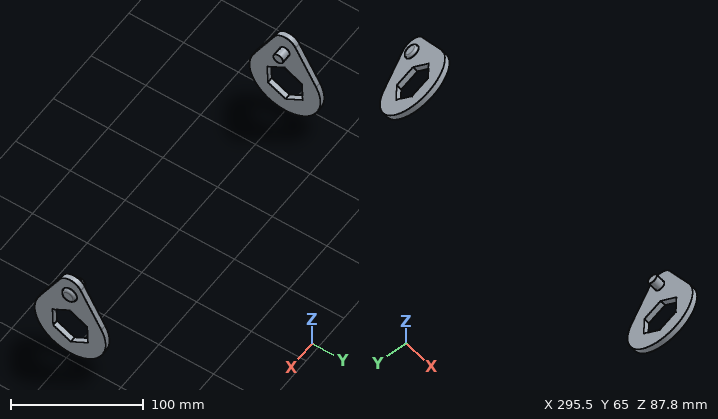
import cadquery as cq
import math

overall_length = 295.5
plate_thickness = 5.3
hub_radius = 32.5
tip_radius = 11.0
plate_height = 87.8
hex_corner_radius = 18.3
hex_tilt = 2.0
pin_height = 38.5
shank_diameter = 9.0
shank_length = 9.0
head_diameter = 12.7
head_thickness = 3.0
head_fillet = 2.0

tip_height = plate_height - hub_radius - tip_radius
flank_angle = math.asin((hub_radius - tip_radius) / tip_height)
outer_face_x = -overall_length / 2 + head_thickness
inner_face_x = outer_face_x + plate_thickness


def tangent_point(radius, height):
    """Point (Y, Z) where the +Y flank touches a round end."""
    return radius * math.cos(flank_angle), height + radius * math.sin(flank_angle)


def make_plate():
    """Teardrop plate: two round ends joined by tangent flanks, with a hexagonal opening."""
    hub_y, hub_z = tangent_point(hub_radius, 0)
    tip_y, tip_z = tangent_point(tip_radius, tip_height)
    plate = (
        cq.Workplane("YZ", origin=(outer_face_x, 0, 0))
        .moveTo(hub_y, hub_z)
        .lineTo(tip_y, tip_z)
        .threePointArc((0, tip_height + tip_radius), (-tip_y, tip_z))
        .lineTo(-hub_y, hub_z)
        .threePointArc((0, -hub_radius), (hub_y, hub_z))
        .close()
        .extrude(plate_thickness)
    )
    opening = (
        cq.Workplane("YZ", origin=(outer_face_x, 0, 0))
        .transformed(rotate=(0, 0, 90 + hex_tilt))
        .polygon(6, 2 * hex_corner_radius)
        .extrude(plate_thickness)
    )
    return plate.cut(opening)


def make_head():
    """Round pin head on the outer face, with a rounded rim."""
    return (
        cq.Workplane("YZ", origin=(outer_face_x, 0, pin_height))
        .circle(head_diameter / 2)
        .extrude(-head_thickness)
        .faces("<X")
        .edges()
        .fillet(head_fillet)
    )


def make_shank():
    """Plain cylindrical pin on the inner face."""
    return (
        cq.Workplane("YZ", origin=(inner_face_x, 0, pin_height))
        .circle(shank_diameter / 2)
        .extrude(shank_length)
    )


def make_link(side):
    """One link plate with its pin; side is -1 for the -X end and +1 for the +X end."""
    link = make_plate().union(make_head()).union(make_shank())
    return link if side < 0 else link.mirror("YZ")


links = [make_link(side) for side in (-1, 1)]
result = cq.Compound.makeCompound([link.val() for link in links])